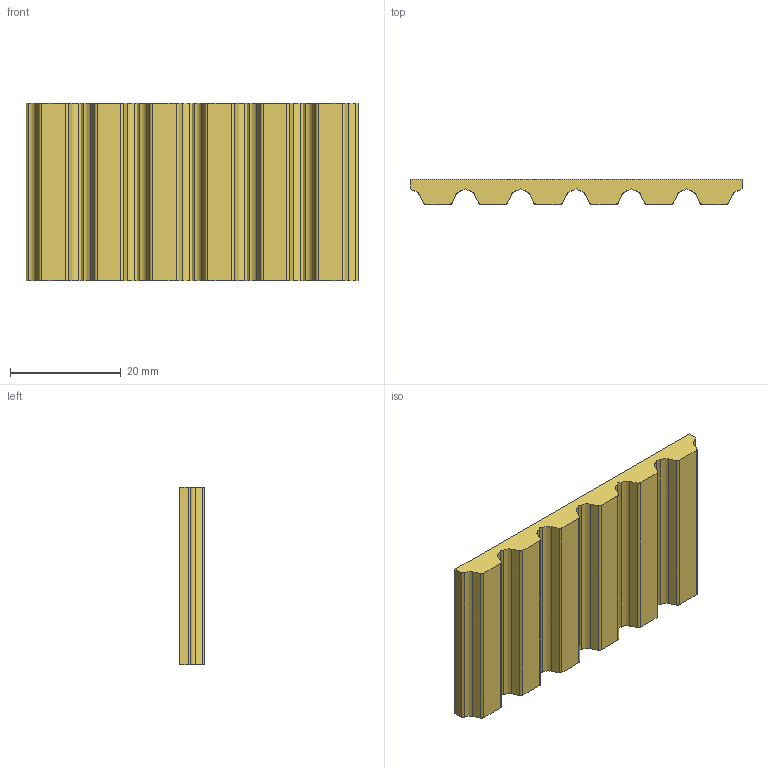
import cadquery as cq
import math

pitch = 10.0
tooth_count = 6
belt_width = 32.0
belt_thickness = 4.5

flank_angle = math.radians(25.0)
root_radius = 1.42
tip_radius = 0.5
notch_half_width = 0.45
notch_depth = 0.4
web_at_notch_edge = 2.0

belt_length = pitch * tooth_count
half_length = belt_length / 2
back_y = belt_thickness / 2
tip_y = -belt_thickness / 2

notch_edge_y = back_y - web_at_notch_edge
notch_apex_y = notch_edge_y + notch_depth

root_centre_y = notch_edge_y - root_radius
root_end_angle = math.pi / 2 - flank_angle


def root_point(angle):
    """Point on the root arc, at an angle from the Y axis."""
    x = notch_half_width + root_radius * math.sin(angle)
    y = root_centre_y + root_radius * math.cos(angle)
    return x, y


notch_edge = (notch_half_width, notch_edge_y)
root_middle = root_point(root_end_angle / 2)
root_end = root_point(root_end_angle)

tip_centre_y = tip_y + tip_radius
tip_start_y = tip_centre_y - tip_radius * math.sin(flank_angle)
tip_start_x = root_end[0] + (root_end[1] - tip_start_y) * math.tan(flank_angle)
tip_centre_x = tip_start_x + tip_radius * math.cos(flank_angle)
tip_middle_angle = (flank_angle + math.pi / 2) / 2
tip_start = (tip_start_x, tip_start_y)
tip_middle = (
    tip_centre_x - tip_radius * math.cos(tip_middle_angle),
    tip_centre_y - tip_radius * math.sin(tip_middle_angle),
)
tip_end = (tip_centre_x, tip_y)


def add_tooth(outline, start_x):
    """Continue the outline over one tooth, from one groove centre line to the next."""

    def rising(point):
        return start_x + point[0], point[1]

    def falling(point):
        return start_x + pitch - point[0], point[1]

    return (
        outline.lineTo(*rising(notch_edge))
        .threePointArc(rising(root_middle), rising(root_end))
        .lineTo(*rising(tip_start))
        .threePointArc(rising(tip_middle), rising(tip_end))
        .lineTo(*falling(tip_end))
        .threePointArc(falling(tip_middle), falling(tip_start))
        .lineTo(*falling(root_end))
        .threePointArc(falling(root_middle), falling(notch_edge))
        .lineTo(start_x + pitch, notch_apex_y)
    )


def belt_segment():
    """Extrude the toothed outline, which starts and ends in the middle of a groove."""
    outline = cq.Workplane("XY").moveTo(-half_length, back_y).lineTo(-half_length, notch_apex_y)
    for tooth in range(tooth_count):
        outline = add_tooth(outline, -half_length + tooth * pitch)
    return outline.lineTo(half_length, back_y).close().extrude(belt_width)


result = belt_segment()